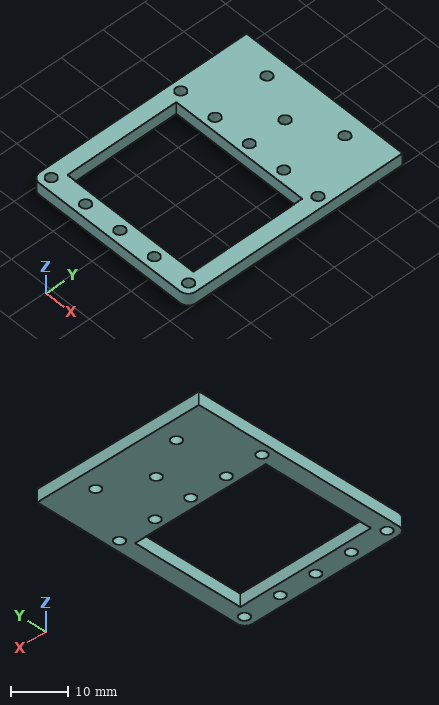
import cadquery as cq

width = 40.0
length = 51.5
thickness = 3.0
corner_radius = 2.0
front_edge = -length / 2

window_width = 32.3
window_length = 26.05
front_rail = 5.0

hole_diameter = 2.3
row_count = 5
row_pitch = 8.8
front_row_inset = 2.45
front_row_y = front_edge + front_row_inset
row_spacing = 31.0
center_hole_inset = 42.0
center_hole_y = front_edge + center_hole_inset
pair_setback = 5.0
pair_y = center_hole_y + pair_setback
pair_half_spacing = 10.0


def row_points(y):
    """Evenly spaced points across the width at the given Y."""
    middle = (row_count - 1) / 2
    return [((i - middle) * row_pitch, y) for i in range(row_count)]


plate = (
    cq.Workplane("XY")
    .box(width, length, thickness)
    .edges("|Z and <Y")
    .fillet(corner_radius)
)

window_y = front_edge + front_rail + window_length / 2
window = (
    cq.Workplane("XY")
    .center(0, window_y)
    .box(window_width, window_length, thickness)
)

hole_points = row_points(front_row_y) + row_points(front_row_y + row_spacing)
hole_points += [
    (0, center_hole_y),
    (-pair_half_spacing, pair_y),
    (pair_half_spacing, pair_y),
]
holes = (
    cq.Workplane("XY")
    .pushPoints(hole_points)
    .circle(hole_diameter / 2)
    .extrude(thickness / 2, both=True)
)

result = plate.cut(window).cut(holes)